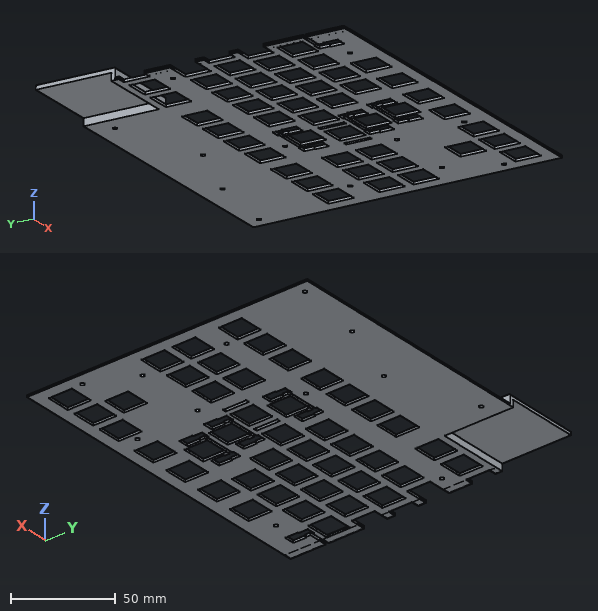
import cadquery as cq

plate_x = 198.0
plate_y = 173.0
plate_thickness = 1.5
rim_chamfer = 0.5

key_pitch = 77.0 / 8
key_opening = 14.3
first_key_x = 16.6
bottom_row_y = 14.5

navigation_keys = [13.36, 15.34, 17.32]
key_rows = [
    (10.9, [-2, 0, 2, 5.0, 7.0, 9.0, 10.9] + navigation_keys),
    (8, [-1.0, 1.0, 3.0, 5.0, 7.0, 9.9] + navigation_keys),
    (6, [-2, 0, 2, 4, 6, 8, 10.4] + navigation_keys),
    (4, [-1.48, 0.5, 2.47, 4.45, 6.43, 9.65]),
    (2, [-0.5, 1.48, 3.46, 5.45, 9.155, 15.34]),
    (0, [3.216, 5.69, 8.165, 10.639] + navigation_keys),
]

stabiliser_offset = 11.9
stabiliser_width = 6.1
stabiliser_neck_width = 5.0
stabiliser_top = 9.7
stabiliser_shoulder = 4.2
stabiliser_bottom = -3.8
wire_slot_top = 9.0
wire_slot_bottom = 7.3
stabilised_keys = [(9.9, 8), (9.65, 4), (9.155, 2)]
space_stabiliser_x = 14.0

side_slot_key = (10.4, 6)
side_slot_offset = 11.7
side_slot_width = 2.0

screw_hole_diameter = 2.2
screw_holes = [
    (53.5, 161.5), (147.5, 159.1), (190.6, 165.5), (105.3, 144.0),
    (12.9, 104.0), (116.0, 104.7), (176.4, 105.5), (136.5, 54.8),
    (178.7, 55.6), (190.6, 28.1), (28.7, 14.6), (133.8, 15.5),
]

cover_x = 45.7
cover_y = 44.7
cover_height = 6.5
cover_wall = 2.4
cover_chamfer = 0.5

groove_depth = 4.2
groove_bottom = 0.5
groove_height = 0.5
groove_overrun = 0.5


def cutter(x_min, x_max, y_min, y_max):
    """Box between the given sides that passes through the plate."""
    return cq.Workplane("XY").box(
        x_max - x_min, y_max - y_min, plate_thickness, centered=False
    ).translate((x_min, y_min, 0))


def key_centre(along, up):
    return first_key_x + along * key_pitch, bottom_row_y + up * key_pitch


def key_cutter(along, up):
    x, y = key_centre(along, up)
    half = key_opening / 2
    return cutter(x - half, x + half, y - half, y + half)


def stabiliser_cutter(x, key_y):
    """Opening with a narrow neck above a wider body."""
    half_body = stabiliser_width / 2
    half_neck = stabiliser_neck_width / 2
    bottom = key_y + stabiliser_bottom
    body = cutter(x - half_body, x + half_body, bottom, key_y + stabiliser_shoulder)
    neck = cutter(x - half_neck, x + half_neck, bottom, key_y + stabiliser_top)
    return body.union(neck)


def wire_slot_cutter(x_min, x_max, key_y):
    return cutter(x_min, x_max, key_y + wire_slot_bottom, key_y + wire_slot_top)


plate = cq.Workplane("XY").box(plate_x, plate_y, plate_thickness, centered=False)
plate = plate.faces(">Z").edges(">X or >Y or <Y").chamfer(rim_chamfer)

for row_up, row_keys in key_rows:
    for key_along in row_keys:
        plate = plate.cut(key_cutter(key_along, row_up))

for key_along, key_up in stabilised_keys:
    key_x, key_y = key_centre(key_along, key_up)
    left_x = key_x - stabiliser_offset
    right_x = key_x + stabiliser_offset
    plate = plate.cut(stabiliser_cutter(left_x, key_y))
    plate = plate.cut(stabiliser_cutter(right_x, key_y))
    plate = plate.cut(wire_slot_cutter(left_x, right_x, key_y))

plate = plate.cut(stabiliser_cutter(space_stabiliser_x, bottom_row_y))
plate = plate.cut(wire_slot_cutter(0, space_stabiliser_x, bottom_row_y))

slot_key_x, slot_key_y = key_centre(*side_slot_key)
for side in (-1, 1):
    slot_x = slot_key_x + side * side_slot_offset
    plate = plate.cut(cutter(
        slot_x - side_slot_width / 2, slot_x + side_slot_width / 2,
        slot_key_y - key_opening / 2, slot_key_y + key_opening / 2,
    ))

screws = (
    cq.Workplane("XY").pushPoints(screw_holes)
    .circle(screw_hole_diameter / 2).extrude(plate_thickness)
)
plate = plate.cut(screws)

cover_front = plate_y - cover_y
cover = (
    cq.Workplane("XY").box(cover_x, cover_y, cover_height, centered=False)
    .translate((0, cover_front, 0))
    .faces(">Z").edges("<Y or >Y").chamfer(cover_chamfer)
)
cavity = (
    cq.Workplane("XY")
    .box(cover_x - cover_wall, cover_y - cover_wall, cover_height - cover_wall, centered=False)
    .translate((0, cover_front + cover_wall, 0))
)

groove = (
    cq.Workplane("XY")
    .box(groove_depth, cover_front + groove_overrun, groove_height, centered=False)
    .translate((0, 0, groove_bottom))
)

result = plate.union(cover).cut(cavity).cut(groove)